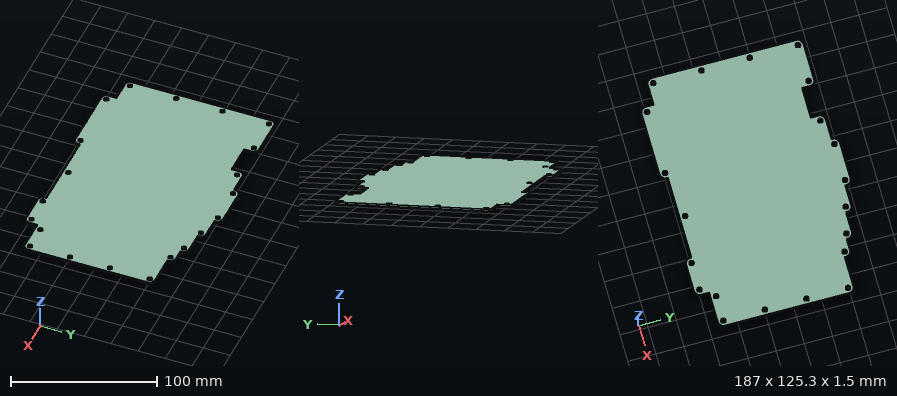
import cadquery as cq

length = 187.0
width = 125.3
thickness = 1.5

hole_diameter = 3.2
edge_inset = 4.0
corner_radius = edge_inset

back_drop = 19.0
back_step_count = 4
back_step = back_drop / back_step_count
back_tab_y = width
back_shoulder_y = back_tab_y - back_step
back_middle_y = back_shoulder_y - back_step
back_low_y = back_middle_y - back_step
back_right_y = back_low_y - back_step
notch_floor_y = back_low_y
front_side_y = 9.7
front_middle_y = front_side_y / 2

notch_left, notch_right = 34.8, 57.0
back_tab_left, back_tab_right = 76.0, 110.9
shoulder_right = 129.8
middle_step_right = 148.7
low_step_right = 161.0
left_foot_left, left_foot_right = 19.0, 73.0
right_foot_left, right_foot_right = 133.0, low_step_right

front_middle_hole_x = 102.8
front_right_hole_x = 164.7
side_hole_intervals = 3

outer_corners = [
    (0, front_side_y, 1, 1),
    (0, back_shoulder_y, 1, -1),
    (notch_left, back_shoulder_y, -1, -1),
    (notch_right, back_shoulder_y, 1, -1),
    (back_tab_left, back_tab_y, 1, -1),
    (back_tab_right, back_tab_y, -1, -1),
    (shoulder_right, back_shoulder_y, -1, -1),
    (middle_step_right, back_middle_y, -1, -1),
    (low_step_right, back_low_y, -1, -1),
    (length, back_right_y, -1, -1),
    (length, front_side_y, -1, 1),
    (right_foot_right, 0, -1, 1),
    (right_foot_left, 0, 1, 1),
    (left_foot_right, 0, -1, 1),
    (left_foot_left, 0, 1, 1),
]


def make_plate():
    """Stepped plate with sharp inner corners and rounded outer corners."""
    outline = [
        (0, front_side_y),
        (0, back_shoulder_y),
        (notch_left, back_shoulder_y),
        (notch_left, notch_floor_y),
        (notch_right, notch_floor_y),
        (notch_right, back_shoulder_y),
        (back_tab_left, back_shoulder_y),
        (back_tab_left, back_tab_y),
        (back_tab_right, back_tab_y),
        (back_tab_right, back_shoulder_y),
        (shoulder_right, back_shoulder_y),
        (shoulder_right, back_middle_y),
        (middle_step_right, back_middle_y),
        (middle_step_right, back_low_y),
        (low_step_right, back_low_y),
        (low_step_right, back_right_y),
        (length, back_right_y),
        (length, front_side_y),
        (right_foot_right, front_side_y),
        (right_foot_right, 0),
        (right_foot_left, 0),
        (right_foot_left, front_middle_y),
        (left_foot_right, front_middle_y),
        (left_foot_right, 0),
        (left_foot_left, 0),
        (left_foot_left, front_side_y),
    ]
    plate = cq.Workplane("XY").polyline(outline).close().extrude(thickness)
    for x, y, _, _ in outer_corners:
        corner = cq.NearestToPointSelector((x, y, thickness / 2))
        plate = plate.edges("|Z").edges(corner).fillet(corner_radius)
    return plate


def side_holes(x, back_edge_y):
    """Holes evenly spaced between the two corner holes of a side."""
    first_y = front_side_y + edge_inset
    spacing = (back_edge_y - edge_inset - first_y) / side_hole_intervals
    return [(x, first_y + i * spacing) for i in range(1, side_hole_intervals)]


hole_centers = [(x + dx * edge_inset, y + dy * edge_inset) for x, y, dx, dy in outer_corners]
hole_centers += side_holes(edge_inset, back_shoulder_y)
hole_centers += side_holes(length - edge_inset, back_right_y)
hole_centers.append((front_middle_hole_x, front_middle_y + edge_inset))
hole_centers.append((front_right_hole_x, front_side_y + edge_inset))

holes = cq.Workplane("XY").pushPoints(hole_centers).circle(hole_diameter / 2).extrude(thickness)
result = make_plate().cut(holes)